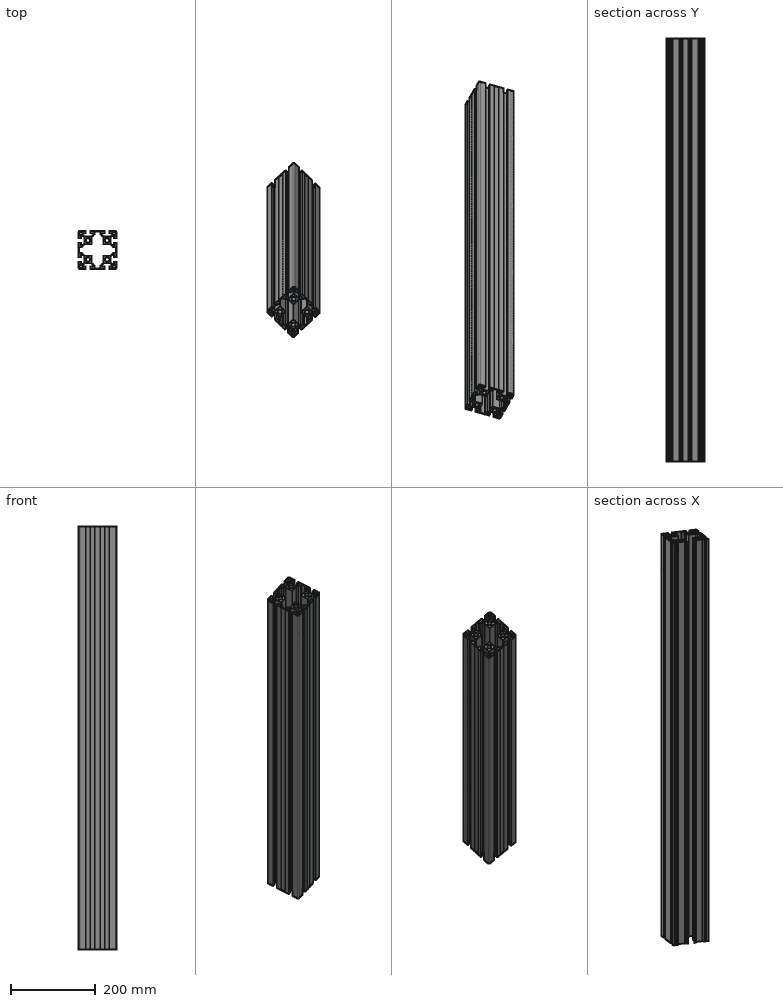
import math

import cadquery as cq

side = 90.0
length = 1000.0
corner_radius = 3.0

core_pitch = 45.0
bore_diameter = 10.2
core_size = 18.8

slot_opening = 10.2
slot_inner_width = 24.0
slot_floor_width = 16.0
lip_thickness = 6.0

corner_hollow_size = 6.5
corner_hollow_radius = 1.0
corner_wall = 3.0

web_thickness = 1.5
wall_thickness = 2.0
cavity_crown_width = 12.0

half_side = side / 2
core_offset = core_pitch / 2
core_inner_face = core_offset - core_size / 2
core_outer_face = core_offset + core_size / 2
lip_inner_face = half_side - lip_thickness
slot_taper = (slot_inner_width - slot_floor_width) / 2
crown_half_width = cavity_crown_width / 2
crown_height = half_side - wall_thickness

slot_side_sum = core_offset - slot_floor_width / 2 + core_outer_face
cavity_side_sum = slot_side_sum - web_thickness * math.sqrt(2)
cavity_shoulder = cavity_side_sum - core_inner_face
crown_base = cavity_side_sum - crown_half_width


def turned(solid, quarter_turns):
    """Turn a solid about the profile axis."""
    return solid.rotate((0, 0, 0), (0, 0, 1), 90 * quarter_turns)


def mirrored_outline(right_half):
    """Close a right-hand half outline with its mirror image about the Y axis."""
    left_half = [(-x, y) for x, y in reversed(right_half)]
    return cq.Workplane("XY").polyline(right_half + left_half).close()


def make_bar():
    bar = cq.Workplane("XY").rect(side, side).extrude(length)
    return bar.edges("|Z").fillet(corner_radius)


def make_bores():
    centers = cq.Workplane("XY").rect(core_pitch, core_pitch, forConstruction=True).vertices()
    return centers.circle(bore_diameter / 2).extrude(length)


def make_corner_hollows():
    pitch = side - 2 * corner_wall - corner_hollow_size
    centers = cq.Workplane("XY").rect(pitch, pitch, forConstruction=True).vertices()
    hollows = centers.rect(corner_hollow_size, corner_hollow_size).extrude(length)
    return hollows.edges("|Z").fillet(corner_hollow_radius)


def make_slot():
    """T-slot open towards +Y: flat floor, sides tapered at 45 degrees, straight mouth between lips."""
    right_half = [
        (slot_floor_width / 2, core_outer_face),
        (slot_inner_width / 2, core_outer_face + slot_taper),
        (slot_inner_width / 2, lip_inner_face),
        (slot_opening / 2, lip_inner_face),
        (slot_opening / 2, half_side),
    ]
    return mirrored_outline(right_half).extrude(length)


def make_cavity_arm():
    """One arm of the cross-shaped cavity, narrowing between the webs to a crown at the +Y wall."""
    right_half = [
        (core_inner_face, -core_inner_face),
        (core_inner_face, cavity_shoulder),
        (crown_half_width, crown_base),
        (crown_half_width, crown_height),
    ]
    return mirrored_outline(right_half).extrude(length)


result = make_bar().cut(make_bores()).cut(make_corner_hollows())
for quarter in range(4):
    result = result.cut(turned(make_cavity_arm(), quarter))
    for slot_x in (-core_offset, core_offset):
        slot = make_slot().translate((slot_x, 0, 0))
        result = result.cut(turned(slot, quarter))